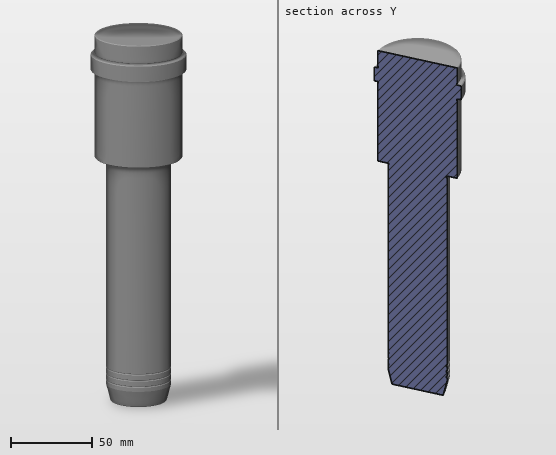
import cadquery as cq

TOTAL_HEIGHT = 233.0
COLLAR_DIAMETER = 59.0
HEAD_DIAMETER = 54.0
SHAFT_DIAMETER = 40.0
TIP_DIAMETER = 35.0

COLLAR_TOP = TOTAL_HEIGHT - 12.0
COLLAR_THICKNESS = 10.0
COLLAR_BOTTOM = COLLAR_TOP - COLLAR_THICKNESS
HEAD_BOTTOM = TOTAL_HEIGHT - 78.0
TIP_HEIGHT = 10.5

CHAMFER = 0.5

GROOVE_RADIUS = 0.5

SHAFT_GROOVE_COUNT = 3
SHAFT_GROOVE_PITCH = 4.0
LOWEST_GROOVE_HEIGHT = 13.5


def cylinder(diameter, bottom, top):
    """Solid cylinder on the Z axis between two heights."""
    return cq.Workplane("XY").workplane(offset=bottom).circle(diameter / 2).extrude(top - bottom)


def make_head():
    """Head with both rims chamfered."""
    head = cylinder(HEAD_DIAMETER, HEAD_BOTTOM, TOTAL_HEIGHT)
    return head.faces("<Z or >Z").edges().chamfer(CHAMFER)


def make_collar():
    """Collar around the head with its upper rim chamfered."""
    collar = cylinder(COLLAR_DIAMETER, COLLAR_BOTTOM, COLLAR_TOP)
    return collar.faces(">Z").edges().chamfer(CHAMFER)


def make_tip():
    """Tapered lead-in below the shaft with its bottom rim chamfered."""
    outline = (
        cq.Workplane("XZ")
        .lineTo(TIP_DIAMETER / 2 - CHAMFER, 0)
        .lineTo(TIP_DIAMETER / 2, CHAMFER)
        .lineTo(SHAFT_DIAMETER / 2, TIP_HEIGHT)
        .lineTo(0, TIP_HEIGHT)
        .close()
    )
    return outline.revolve(360, (0, 0, 0), (0, 1, 0))


def make_groove_cutter(diameter, height):
    """Torus centred on a cylinder's surface, which cuts a half-round groove around it."""
    torus = cq.Solid.makeTorus(diameter / 2, GROOVE_RADIUS)
    return cq.Workplane("XY").add(torus.translate(cq.Vector(0, 0, height)))


def cut_shaft_grooves(body):
    """Evenly spaced grooves around the lower end of the shaft."""
    for index in range(SHAFT_GROOVE_COUNT):
        height = LOWEST_GROOVE_HEIGHT + index * SHAFT_GROOVE_PITCH
        body = body.cut(make_groove_cutter(SHAFT_DIAMETER, height))
    return body


head = make_head()
for groove_height in (COLLAR_TOP + GROOVE_RADIUS, COLLAR_BOTTOM - GROOVE_RADIUS):
    head = head.cut(make_groove_cutter(HEAD_DIAMETER, groove_height))

shaft = cut_shaft_grooves(cylinder(SHAFT_DIAMETER, TIP_HEIGHT, HEAD_BOTTOM))
shaft = shaft.cut(make_groove_cutter(SHAFT_DIAMETER, HEAD_BOTTOM - GROOVE_RADIUS))

result = head.union(make_collar()).union(shaft).union(make_tip())